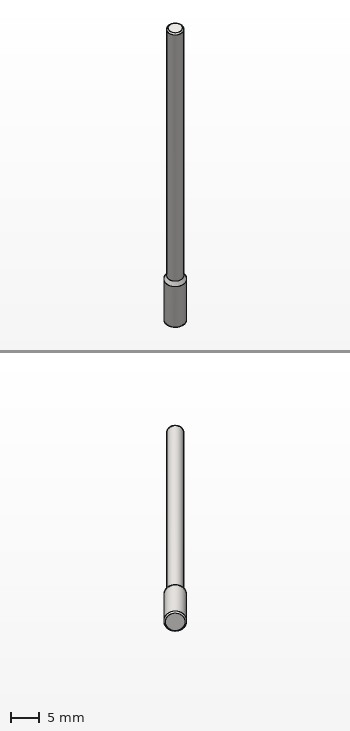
import cadquery as cq

total_length = 70.0
rod_diameter = 3.0
head_diameter = 4.0

head_length = 10.85
shoulder_height = 0.85
bottom_chamfer = 0.3

tip_chamfer = 0.3


def make_head():
    """Solid cylinder on the XY plane, narrowing to the rod at its upper end."""
    outer_radius = head_diameter / 2
    return (
        cq.Workplane("XZ")
        .moveTo(0, 0)
        .lineTo(outer_radius - bottom_chamfer, 0)
        .lineTo(outer_radius, bottom_chamfer)
        .lineTo(outer_radius, head_length - shoulder_height)
        .lineTo(rod_diameter / 2, head_length)
        .lineTo(0, head_length)
        .close()
        .revolve(360, (0, 0, 0), (0, 1, 0))
    )


def make_rod():
    """Long rod standing on the head's upper face, chamfered at its tip."""
    return (
        cq.Workplane("XY")
        .workplane(offset=head_length)
        .circle(rod_diameter / 2)
        .extrude(total_length - head_length)
        .faces(">Z")
        .chamfer(tip_chamfer)
    )


head = make_head()
rod = make_rod()

result = cq.Compound.makeCompound([head.val(), rod.val()])